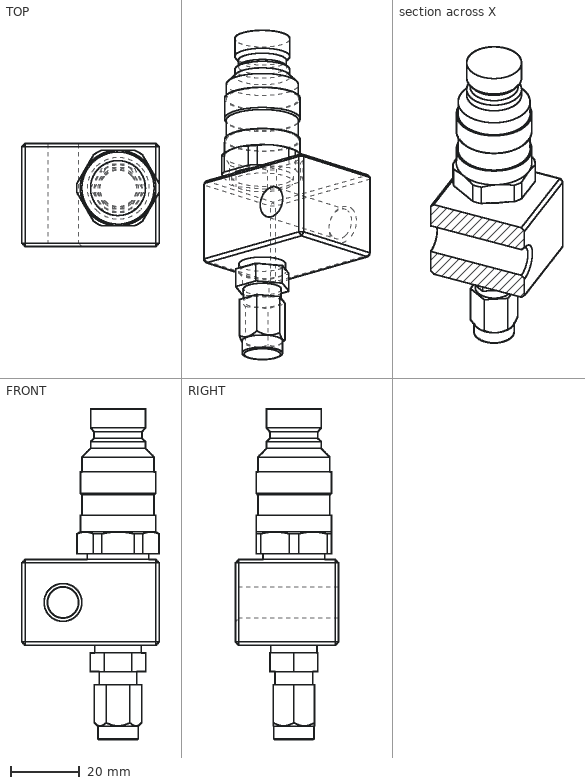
import cadquery as cq
import math

block_length = 40.0
block_width = 30.0
block_height = 25.0
block_chamfer = 1.0

bore_x = -8.0
bore_z = block_height / 2
bore_diameter = 9.0
countersink_diameter = 11.0
countersink_depth = (countersink_diameter - bore_diameter) / 2

axis_x = 8.0
axis_y = 2.0

collar_radius = 9.0
body_radius = 10.5
ring_radius = 11.0
plug_radius = 8.0
groove_radius = 7.0

coupling_hex_bottom = 26.6
coupling_hex_top = 33.0
lower_ring_top = 37.9
upper_ring_bottom = 43.8
upper_ring_top = 50.5
shoulder_bottom = 54.8
groove_ramp_height = 0.9
groove_bottom = 60.2
groove_top = 62.1
plug_rim_bottom = 63.3
coupling_top = 68.8

coupling_hex_flats = 22.0
coupling_hex_turned_radius = 12.0
coupling_hex_bevel_angle = 30.0

stub_radius = 6.8
body_nut_flats = 14.0
neck_radius = 5.5
cap_nut_flats = 12.0
tip_radius = 5.9
tip_edge_radial = 0.6
tip_edge_height = 0.3

body_nut_top = -2.2
body_nut_bottom = -7.6
cap_nut_top = -11.4
cap_nut_bottom = -23.5
fitting_bottom = -27.5


def corner_radius(flats):
    """Circumscribed radius of a hexagon with the given width across flats."""
    return flats / 2 / math.cos(math.radians(30))


def revolve_profile(points):
    """Solid of revolution about the Z axis from (radius, level) points."""
    return cq.Workplane("XZ").polyline(points).close().revolve(360, (0, 0), (0, 1))


def hexagon(flats, bottom, top):
    """Hexagonal prism about the Z axis with two corners on the X axis."""
    across_corners = 2 * corner_radius(flats)
    return cq.Workplane("XY").workplane(offset=bottom).polygon(6, across_corners).extrude(top - bottom)


def cylinder(radius, bottom, top):
    """Cylinder about the Z axis between two levels."""
    return cq.Workplane("XY").workplane(offset=bottom).circle(radius).extrude(top - bottom)


def make_block():
    """Chamfered block with its countersunk cross bore."""
    block = cq.Workplane("XY").box(
        block_length, block_width, block_height, centered=(True, True, False)
    )
    block = block.edges().chamfer(block_chamfer)
    mouth_face_y = -block_width / 2
    bore_mouth = cq.Workplane("XZ", origin=(bore_x, mouth_face_y, bore_z))
    bore = bore_mouth.circle(bore_diameter / 2).extrude(-block_width)
    countersink = (
        bore_mouth.circle(countersink_diameter / 2)
        .workplane(offset=-countersink_depth)
        .circle(bore_diameter / 2)
        .loft()
    )
    return block.cut(bore).cut(countersink)


def make_coupling_body():
    """Turned part of the coupling, from the block's top face to the plug end."""
    ring_step = ring_radius - body_radius
    shoulder_height = body_radius - plug_radius
    return revolve_profile([
        (0, block_height),
        (collar_radius, block_height),
        (collar_radius, coupling_hex_top),
        (ring_radius, coupling_hex_top),
        (ring_radius, lower_ring_top),
        (body_radius, lower_ring_top),
        (body_radius, upper_ring_bottom),
        (ring_radius, upper_ring_bottom + ring_step),
        (ring_radius, upper_ring_top),
        (body_radius, upper_ring_top),
        (body_radius, shoulder_bottom),
        (plug_radius, shoulder_bottom + shoulder_height),
        (plug_radius, groove_bottom - groove_ramp_height),
        (groove_radius, groove_bottom),
        (groove_radius, groove_top),
        (plug_radius, plug_rim_bottom),
        (plug_radius, coupling_top),
        (0, coupling_top),
    ])


def make_coupling_hex():
    """Coupling hexagon with rounded corners and a bevelled top edge."""
    bevel_width = coupling_hex_turned_radius - ring_radius
    bevel_height = bevel_width * math.tan(math.radians(coupling_hex_bevel_angle))
    envelope = revolve_profile([
        (0, coupling_hex_bottom),
        (coupling_hex_turned_radius, coupling_hex_bottom),
        (coupling_hex_turned_radius, coupling_hex_top - bevel_height),
        (ring_radius, coupling_hex_top),
        (0, coupling_hex_top),
    ])
    return hexagon(coupling_hex_flats, coupling_hex_bottom, coupling_hex_top).intersect(envelope)


def make_cap_nut():
    """Cap nut whose lower corners are bevelled down to its round tip."""
    nut_radius = corner_radius(cap_nut_flats)
    bevel = nut_radius - tip_radius
    envelope = revolve_profile([
        (0, cap_nut_bottom),
        (tip_radius, cap_nut_bottom),
        (nut_radius, cap_nut_bottom + bevel),
        (nut_radius, cap_nut_top),
        (0, cap_nut_top),
    ])
    return hexagon(cap_nut_flats, cap_nut_bottom, cap_nut_top).intersect(envelope)


def make_tip():
    """Round end of the cap nut with a small bevel on its bottom edge."""
    return revolve_profile([
        (0, fitting_bottom),
        (tip_radius - tip_edge_radial, fitting_bottom),
        (tip_radius, fitting_bottom + tip_edge_height),
        (tip_radius, cap_nut_bottom),
        (0, cap_nut_bottom),
    ])


def make_coupling():
    """Complete upper coupling about the Z axis."""
    return make_coupling_body().union(make_coupling_hex())


def make_fitting():
    """Complete lower fitting about the Z axis."""
    stub = cylinder(stub_radius, body_nut_top, 0)
    body_nut = hexagon(body_nut_flats, body_nut_bottom, body_nut_top)
    neck = cylinder(neck_radius, cap_nut_top, body_nut_bottom)
    return stub.union(body_nut).union(neck).union(make_cap_nut()).union(make_tip())


axis_offset = (axis_x, axis_y, 0)
result = (
    make_block()
    .union(make_coupling().translate(axis_offset))
    .union(make_fitting().translate(axis_offset))
)